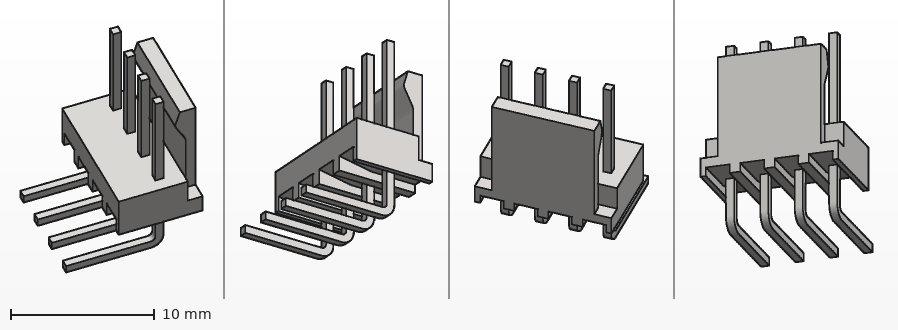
import cadquery as cq

pin_count = 4
pin_pitch = 2.54
pin_width = 0.6
pin_depth = 0.62
pin_height = 13.72
pin_back = -2.54
tail_end = -9.9
bend_inner_radius = 0.37
bend_outer_radius = bend_inner_radius + pin_depth

body_width = 10.17
body_depth = 6.34
body_bottom = 3.17
body_height = 3.2
body_top = body_bottom + body_height
ledge_depth = 1.13
ledge_height = 1.37
ledge_top = body_bottom + ledge_height

slot_width = 1.75
slot_front_height = 1.13
slot_rear_height = 0.65
slot_slope_run = 2.72

tongue_width = 7.63
tongue_thickness = 0.74
tongue_top = 11.95
hook_top_depth = 1.2
hook_nose_depth = 1.58
hook_nose_height = 10.73
hook_root_height = 9.18
nose_radius = 0.55
root_radius = 0.78

pin_positions = [(i - (pin_count - 1) / 2) * pin_pitch for i in range(pin_count)]


def extrude_profile(points, width, center_x=0):
    """Extrude a closed (Y, Z) outline along X, centred on center_x."""
    plane = cq.Workplane("YZ", origin=(center_x, 0, 0))
    return plane.polyline(points).close().extrude(width / 2, both=True)


def edge_at(y, z):
    """Select the edge along X that passes through (y, z)."""
    return cq.selectors.NearestToPointSelector((0, y, z))


def make_housing():
    return extrude_profile(
        [
            (0, body_bottom),
            (0, ledge_top),
            (-ledge_depth, ledge_top),
            (-ledge_depth, body_top),
            (-body_depth, body_top),
            (-body_depth, body_bottom),
        ],
        body_width,
    )


def make_slot(center_x):
    """Through slot whose roof slopes down from the front face, then runs level."""
    front_roof = body_bottom + slot_front_height
    rear_roof = body_bottom + slot_rear_height
    return extrude_profile(
        [
            (0, body_bottom),
            (0, rear_roof),
            (-body_depth + slot_slope_run, rear_roof),
            (-body_depth, front_roof),
            (-body_depth, body_bottom),
        ],
        slot_width,
        center_x,
    )


def make_tongue():
    tongue = extrude_profile(
        [
            (0, ledge_top),
            (0, tongue_top),
            (-hook_top_depth, tongue_top),
            (-hook_nose_depth, hook_nose_height),
            (-tongue_thickness, hook_root_height),
            (-tongue_thickness, ledge_top),
        ],
        tongue_width,
    )
    tongue = tongue.edges(edge_at(-hook_nose_depth, hook_nose_height)).fillet(nose_radius)
    return tongue.edges(edge_at(-tongue_thickness, hook_root_height)).fillet(root_radius)


def make_pin(center_x):
    """Upright pin with a rounded right-angle bend into its tail."""
    pin_front = pin_back - pin_depth
    pin = extrude_profile(
        [
            (pin_back, 0),
            (pin_back, pin_height),
            (pin_front, pin_height),
            (pin_front, pin_depth),
            (tail_end, pin_depth),
            (tail_end, 0),
        ],
        pin_width,
    )
    pin = pin.edges(edge_at(pin_back, 0)).fillet(bend_outer_radius)
    pin = pin.edges(edge_at(pin_front, pin_depth)).fillet(bend_inner_radius)
    return pin.translate((center_x, 0, 0))


result = make_housing().union(make_tongue())
for x in pin_positions:
    result = result.cut(make_slot(x))
for x in pin_positions:
    result = result.union(make_pin(x))